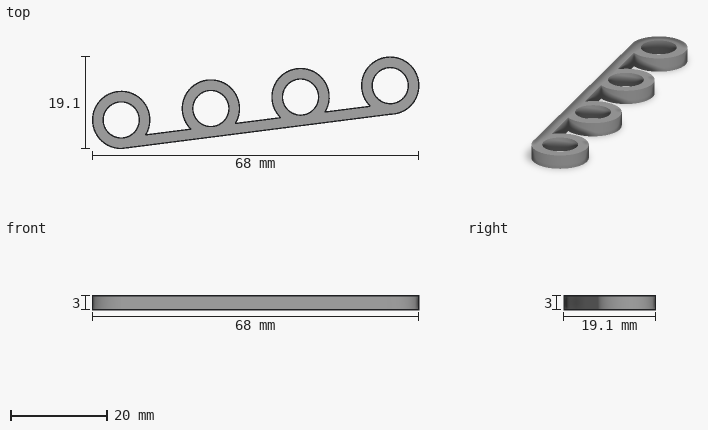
import cadquery as cq

length = 68.0
width = 19.1
thickness = 3.0
ring_diameter = 12.0
hole_diameter = 7.5
ring_count = 4

ring_radius = ring_diameter / 2
wall = (ring_diameter - hole_diameter) / 2
run = length - ring_diameter
rise = width - ring_diameter

gaps = ring_count - 1
ring_centers = [(i * run / gaps, i * rise / gaps) for i in range(ring_count)]


def make_discs(diameter):
    """One disc at each ring center, through the full thickness."""
    return cq.Workplane("XY").pushPoints(ring_centers).circle(diameter / 2).extrude(thickness)


def make_slanted_strip(bottom, top):
    """Strip parallel to the row, between two heights in Y relative to the ring centers."""
    corners = [(0, bottom), (run, rise + bottom), (run, rise + top), (0, top)]
    return cq.Workplane("XY").polyline(corners).close().extrude(thickness)


bar = make_slanted_strip(-ring_radius, wall - ring_radius)

below_bar = make_slanted_strip(-ring_radius - wall, -ring_radius)
rings = make_discs(ring_diameter).cut(below_bar)

result = rings.union(bar).cut(make_discs(hole_diameter))